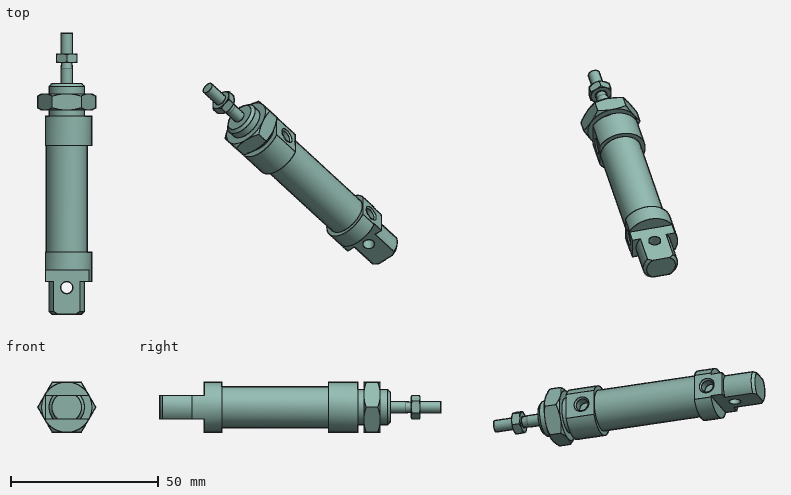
import cadquery as cq
import math


tail_end_y = -9.0
tail_root_y = 2.0
rear_cap_step_y = 6.0
rear_port_y = 7.5
rear_cap_front_y = 12.0
front_cap_back_y = 48.0
front_port_y = 52.5
front_cap_front_y = 58.0
collar_end_y = 69.0

cap_diameter = 17.0
cap_flat_offset = 7.25
tube_diameter = 14.0
collar_diameter = 12.0
collar_chamfer = 1.0
tail_diameter = 12.0
tail_chamfer = 1.0
tail_thickness = 8.0
pivot_hole_diameter = 4.0
port_diameter = 4.2
port_mouth_diameter = 5.3
port_depth = 4.0

rod_diameter = 4.0
rod_relief_diameter = 3.5
rod_thread_length = 12.0
rod_tip_y = 86.0
rod_relief_start_y = rod_tip_y - rod_thread_length

mounting_nut_width = 17.0
mounting_nut_thickness = 5.5
mounting_nut_back_y = 60.0
rod_nut_width = 7.0
rod_nut_thickness = 3.0
rod_nut_back_y = 76.0
nut_chamfer_angle = 30.0
hex_half_angle = 30.0


def cylinder(diameter, start_y, end_y):
    """Round bar on the Y axis from start_y to end_y."""
    plane = cq.Workplane("XZ", origin=(0, start_y, 0))
    return plane.circle(diameter / 2).extrude(start_y - end_y)


def cone(start_diameter, end_diameter, start_y, end_y):
    """Tapered round bar on the Y axis from start_y to end_y."""
    profile = (
        cq.Workplane("XY")
        .moveTo(0, start_y)
        .lineTo(start_diameter / 2, start_y)
        .lineTo(end_diameter / 2, end_y)
        .lineTo(0, end_y)
        .close()
    )
    return profile.revolve(360, (0, 0), (0, 1))


def make_cap(start_y, end_y):
    """Round end cap with one flat on its -X side for the port."""
    cap = cylinder(cap_diameter, start_y, end_y)
    flat_cut = cq.Workplane("XY").box(
        cap_diameter, end_y - start_y, cap_diameter, centered=(True, False, True)
    )
    return cap.cut(flat_cut.translate((-cap_flat_offset - cap_diameter / 2, start_y, 0)))


def make_port(port_y):
    """Blind port drilled from the cap flat, with a 45 degree mouth."""
    mouth_depth = (port_mouth_diameter - port_diameter) / 2
    profile = (
        cq.Workplane("XY")
        .moveTo(0, 0)
        .lineTo(0, port_mouth_diameter / 2)
        .lineTo(mouth_depth, port_diameter / 2)
        .lineTo(port_depth, port_diameter / 2)
        .lineTo(port_depth, 0)
        .close()
    )
    port = profile.revolve(360, (0, 0), (1, 0))
    return port.translate((-cap_flat_offset, port_y, 0))


def make_tail_flat_cut():
    """Material to remove above and below the flat tongue that carries the pivot hole."""
    length = rear_cap_step_y - tail_end_y
    block = cq.Workplane("XY").box(
        2 * cap_diameter, length, 2 * cap_diameter, centered=(True, False, True)
    )
    tongue = cq.Workplane("XY").box(
        2 * cap_diameter, length, tail_thickness, centered=(True, False, True)
    )
    return block.cut(tongue).translate((0, tail_end_y, 0))


def make_body():
    collar_chamfer_y = collar_end_y - collar_chamfer
    collar_face_diameter = collar_diameter - 2 * collar_chamfer
    tail_chamfer_y = tail_end_y + tail_chamfer
    tail_face_diameter = tail_diameter - 2 * tail_chamfer

    body = cylinder(tube_diameter, rear_cap_front_y, front_cap_back_y)
    body = body.union(make_cap(tail_root_y, rear_cap_front_y))
    body = body.union(make_cap(front_cap_back_y, front_cap_front_y))
    body = body.union(cylinder(collar_diameter, front_cap_front_y, collar_chamfer_y))
    body = body.union(cone(collar_diameter, collar_face_diameter, collar_chamfer_y, collar_end_y))
    body = body.union(cylinder(tail_diameter, tail_chamfer_y, tail_root_y))
    body = body.union(cone(tail_face_diameter, tail_diameter, tail_end_y, tail_chamfer_y))
    body = body.cut(make_tail_flat_cut())

    pivot_hole = cq.Workplane("XY").circle(pivot_hole_diameter / 2).extrude(tail_thickness, both=True)
    body = body.cut(pivot_hole)
    for port_y in (rear_port_y, front_port_y):
        body = body.cut(make_port(port_y))
    return body


def make_rod():
    """Piston rod standing on the collar face, with a tapered relief behind the rod nut."""
    shank = cylinder(rod_diameter, collar_end_y, rod_relief_start_y)
    relief = cone(rod_diameter, rod_relief_diameter, rod_relief_start_y, rod_nut_back_y)
    tip = cylinder(rod_diameter, rod_nut_back_y, rod_tip_y)
    return shank.union(relief).union(tip)


def make_nut(width, thickness, hole_diameter, back_y, turn):
    """Hex nut on the Y axis, bevelled on both faces; at no turn two corners point along X."""
    corner_diameter = width / math.cos(math.radians(hex_half_angle))
    bevel = (corner_diameter - width) / 2 * math.tan(math.radians(nut_chamfer_angle))
    front_y = back_y + thickness
    hexagon = (
        cq.Workplane("XZ", origin=(0, back_y, 0))
        .polygon(6, corner_diameter)
        .extrude(-thickness)
        .rotate((0, 0, 0), (0, 1, 0), turn)
    )
    envelope = (
        cylinder(corner_diameter, back_y + bevel, front_y - bevel)
        .union(cone(width, corner_diameter, back_y, back_y + bevel))
        .union(cone(corner_diameter, width, front_y - bevel, front_y))
    )
    return hexagon.intersect(envelope).cut(cylinder(hole_diameter, back_y, front_y))


body = make_body()
rod = make_rod()
mounting_nut = make_nut(
    mounting_nut_width, mounting_nut_thickness, collar_diameter, mounting_nut_back_y, 0
)
rod_nut = make_nut(
    rod_nut_width, rod_nut_thickness, rod_diameter, rod_nut_back_y, hex_half_angle
)

result = cq.Compound.makeCompound([body.val(), rod.val(), mounting_nut.val(), rod_nut.val()])